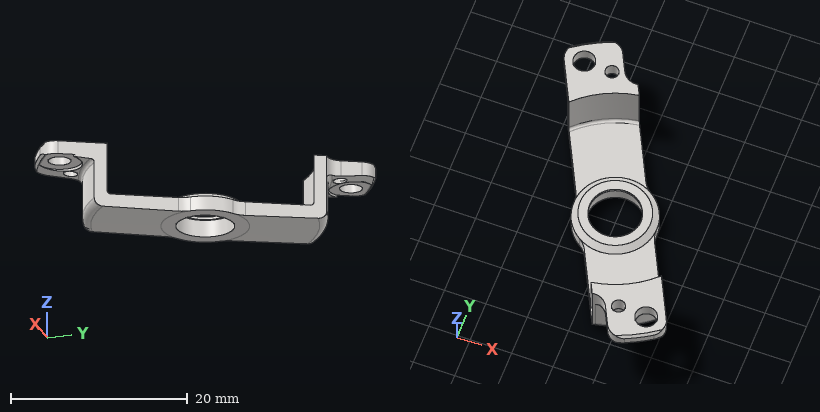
import cadquery as cq
import math

ARM_ANGLE = 26.2
HEIGHT = 7.8

RING_RADIUS = 5.02
RING_TOP_RADIUS = 4.23
RING_TOP = 2.33
BORE_RADIUS = 3.1
SEAT_RADIUS = 3.35
LIP_HEIGHT = 0.32
RING_BLEND = 2.87

ARM_LEFT = -4.12
ARM_RIGHT = 3.9
EAR_RIGHT = 2.58
EAR_RADIUS = 19.4
EAR_CORNER = 1.83
NOTCH_RADIUS = 1.95
NOTCH_Y = 15.13

FLOOR_TOP = 1.7
FLOOR_RISE = 0.15
WALL_INNER = 12.48
WALL_OUTER = 13.9
WALL_FOOT_FILLET = 0.35
WALL_BOTTOM_FILLET = 0.97
EAR_FILLET = 0.45
EAR_ROOT_THICKNESS = 2.0
EAR_TIP_THICKNESS = 1.55
TIP_CHAMFER = 0.3

SCREW_X, SCREW_Y = -1.85, 16.92
SCREW_RADIUS = 1.3
SPOTFACE_RADIUS = 2.58
SPOTFACE_TOP = HEIGHT - 1.58
PIN_X, PIN_Y = 1.1, 15.25
PIN_RADIUS = 0.8


def on_circle(radius, x):
    """Positive Y of the point at x on a circle about the origin."""
    return math.sqrt(radius**2 - x**2)


def fillet_upright(solid, x, y, radius):
    """Round the upright edge that stands at (x, y)."""
    edge = solid.edges("|Z").edges(cq.selectors.NearestToPointSelector((x, y, HEIGHT / 2)))
    return edge.fillet(radius)


def make_arm_prism():
    """Upright prism on the outline of one arm, from the ring centre to the ear tip."""
    notch_x = EAR_RIGHT + NOTCH_RADIUS
    notch_end_y = NOTCH_Y - math.sqrt(NOTCH_RADIUS**2 - (notch_x - ARM_RIGHT) ** 2)
    notch_mid_angle = math.pi + math.atan2(NOTCH_Y - notch_end_y, notch_x - ARM_RIGHT) / 2
    notch_mid = (
        notch_x + NOTCH_RADIUS * math.cos(notch_mid_angle),
        NOTCH_Y + NOTCH_RADIUS * math.sin(notch_mid_angle),
    )
    tip_right = (EAR_RIGHT, on_circle(EAR_RADIUS, EAR_RIGHT))
    tip_left = (ARM_LEFT, on_circle(EAR_RADIUS, ARM_LEFT))
    prism = (
        cq.Workplane("XY")
        .moveTo(ARM_LEFT, 0)
        .lineTo(ARM_RIGHT, 0)
        .lineTo(ARM_RIGHT, notch_end_y)
        .threePointArc(notch_mid, (EAR_RIGHT, NOTCH_Y))
        .lineTo(*tip_right)
        .threePointArc((0, EAR_RADIUS), tip_left)
        .close()
        .extrude(HEIGHT)
    )
    for corner in (tip_right, tip_left):
        prism = fillet_upright(prism, *corner, EAR_CORNER)
    return prism


def make_outline_prism():
    """Both arms joined to the ring, with blends where the arm sides meet it."""
    arm = make_arm_prism()
    prism = cq.Workplane("XY").circle(RING_RADIUS).extrude(HEIGHT)
    prism = prism.union(arm).union(arm.rotate((0, 0, 0), (0, 0, 1), 180))
    for x in (ARM_LEFT, ARM_RIGHT):
        y = on_circle(RING_RADIUS, x)
        prism = fillet_upright(prism, x, y, RING_BLEND)
        prism = fillet_upright(prism, -x, -y, RING_BLEND)
    return prism


def make_section():
    """Dish with a rim: floor, round wall, tapered ear flange and raised ring."""
    ear_root = HEIGHT - EAR_ROOT_THICKNESS
    ear_tip = HEIGHT - EAR_TIP_THICKNESS
    dish = (
        cq.Workplane("XZ")
        .polyline([
            (0, 0),
            (RING_RADIUS, 0),
            (WALL_OUTER, FLOOR_RISE),
            (WALL_OUTER, ear_root),
            (EAR_RADIUS, ear_tip),
            (EAR_RADIUS, HEIGHT),
            (WALL_INNER, HEIGHT),
            (WALL_INNER, FLOOR_TOP),
            (RING_RADIUS, FLOOR_TOP),
            (RING_TOP_RADIUS, RING_TOP),
            (0, RING_TOP),
        ])
        .close()
        .revolve(360, (0, 0, 0), (0, 1, 0))
    )

    def rim(radius, z):
        """Circular edges of the dish with this radius at this height."""
        def matches(edge):
            return (
                edge.geomType() == "CIRCLE"
                and math.isclose(edge.radius(), radius, abs_tol=0.0005)
                and math.isclose(edge.Center().z, z, abs_tol=0.0005)
            )

        return dish.edges().filter(matches)

    dish = rim(WALL_INNER, FLOOR_TOP).fillet(WALL_FOOT_FILLET)
    dish = rim(WALL_OUTER, FLOOR_RISE).fillet(WALL_BOTTOM_FILLET)
    dish = rim(WALL_OUTER, ear_root).fillet(EAR_FILLET)
    dish = rim(EAR_RADIUS, HEIGHT).chamfer(TIP_CHAMFER)
    dish = rim(EAR_RADIUS, ear_tip).chamfer(TIP_CHAMFER)
    return dish


def make_ear_cuts():
    """Screw hole with its spotface underneath, and the pin hole, for one ear."""
    spotface_bottom = HEIGHT - EAR_ROOT_THICKNESS
    screw = cq.Workplane("XY").center(SCREW_X, SCREW_Y).circle(SCREW_RADIUS).extrude(HEIGHT)
    pin = cq.Workplane("XY").center(PIN_X, PIN_Y).circle(PIN_RADIUS).extrude(HEIGHT)
    spotface = (
        cq.Workplane("XY", origin=(SCREW_X, SCREW_Y, spotface_bottom))
        .circle(SPOTFACE_RADIUS)
        .extrude(SPOTFACE_TOP - spotface_bottom)
    )
    return screw.union(pin).union(spotface)


bore = cq.Workplane("XY").circle(BORE_RADIUS).extrude(RING_TOP)
seat = cq.Workplane("XY").circle(SEAT_RADIUS).extrude(RING_TOP - LIP_HEIGHT)
ear_cuts = make_ear_cuts()

bracket = make_section().intersect(make_outline_prism()).cut(bore.union(seat))
for turn in (0, 180):
    bracket = bracket.cut(ear_cuts.rotate((0, 0, 0), (0, 0, 1), turn))

result = bracket.rotate((0, 0, 0), (0, 0, 1), ARM_ANGLE)